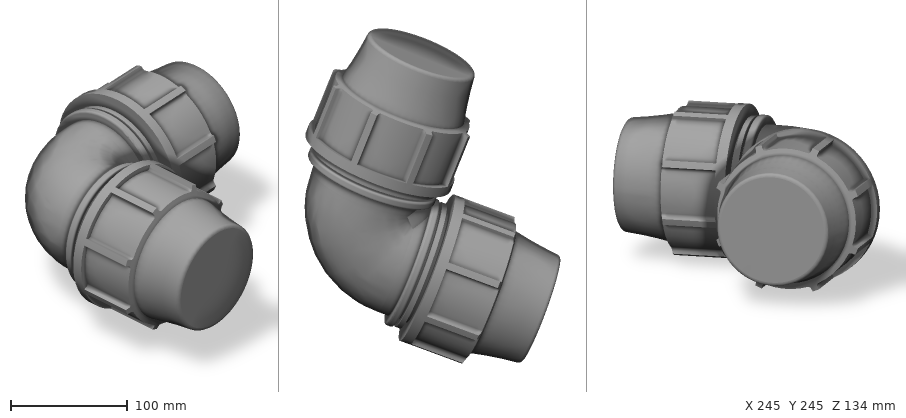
import cadquery as cq
import math

overall_length = 245.0
flange_diameter = 134.0
tube_diameter = 100.5

flange_radius = flange_diameter / 2
tube_radius = tube_diameter / 2
arm_length = overall_length - flange_radius

bend_radius = 46.5
crotch_web_width = 11.8
crotch_web_overlap = 1.0

wide_ring_diameter = 116.5
wide_ring_start = 56.0
wide_ring_width = 7.0
wide_ring_fillet = 2.0
narrow_ring_diameter = 114.2
narrow_ring_start = 65.5
narrow_ring_width = 4.5

flange_start = 73.3
flange_width = 9.0
grip_radius = 61.7
grip_bevel_start = 129.8
grip_end = 133.5
grip_end_radius = 56.0

nozzle_middle_position = 157.0
nozzle_middle_radius = 51.7
nozzle_end_radius = 49.2
nozzle_fillet = 3.2

rib_count = 8
rib_width = 6.1
rib_root_fillet = 2.5


def disc(start, width, diameter):
    """Cylinder about the X axis."""
    return cq.Workplane("YZ", origin=(start, 0, 0)).circle(diameter / 2).extrude(width)


def make_grip():
    """Flange and ribbed grip, with one bevel cut across both the grip and its ribs."""
    grip_start = flange_start + flange_width
    length = grip_end - grip_start
    grip = disc(grip_start, length, 2 * grip_radius)

    rib_blank = (
        cq.Workplane("XY", origin=(grip_start, 0, 0))
        .rect(length, rib_width)
        .extrude(flange_radius + rib_width)
        .translate((length / 2, 0, 0))
    )
    rib_pitch = 360 / rib_count
    for index in range(rib_count):
        angle = (index + 0.5) * rib_pitch
        grip = grip.union(rib_blank.rotate((0, 0, 0), (1, 0, 0), angle))

    root_radius = math.hypot(grip_radius, rib_width)
    root_edges = grip.edges("|X").filter(
        lambda edge: math.hypot(edge.Center().y, edge.Center().z) < root_radius
        and edge.Length() > length / 2
    )
    grip = grip.newObject(root_edges.vals()).fillet(rib_root_fillet)

    envelope = (
        cq.Workplane("XY")
        .moveTo(grip_start, 0)
        .lineTo(grip_start, flange_radius)
        .lineTo(grip_bevel_start, flange_radius)
        .lineTo(grip_end, grip_end_radius)
        .lineTo(grip_end, 0)
        .close()
        .revolve(360, (0, 0, 0), (1, 0, 0))
    )
    return grip.intersect(envelope).union(disc(flange_start, flange_width, flange_diameter))


def make_nozzle():
    """Slightly hollow taper with a rounded mouth edge."""
    return (
        cq.Workplane("XY")
        .moveTo(grip_end, 0)
        .lineTo(grip_end, grip_end_radius)
        .threePointArc(
            (nozzle_middle_position, nozzle_middle_radius), (arm_length, nozzle_end_radius)
        )
        .lineTo(arm_length, 0)
        .close()
        .revolve(360, (0, 0, 0), (1, 0, 0))
        .faces(">X")
        .edges()
        .fillet(nozzle_fillet)
    )


def make_arm_parts():
    """Tube, rings, nut and nozzle of the arm along +X."""
    tube = disc(bend_radius, flange_start - bend_radius, tube_diameter)
    wide_ring = disc(wide_ring_start, wide_ring_width, wide_ring_diameter).edges().fillet(wide_ring_fillet)
    narrow_ring = disc(narrow_ring_start, narrow_ring_width, narrow_ring_diameter)
    return tube, wide_ring, narrow_ring, make_grip(), make_nozzle()


def make_bend():
    """Quarter bend. It is tighter than the tube, so its section stops at the bend axis."""
    half_chord = math.sqrt(tube_radius**2 - bend_radius**2)
    return (
        cq.Workplane("YZ", origin=(bend_radius, 0, 0))
        .moveTo(bend_radius, -half_chord)
        .threePointArc((-tube_radius, 0), (bend_radius, half_chord))
        .close()
        .revolve(90, (bend_radius, 0, 0), (bend_radius, -1, 0))
    )


def make_crotch_web():
    """Ribbon filling the inner crease, with its long edges lying on the two tubes."""
    half_width = crotch_web_width / 2
    start = math.sqrt(2) * bend_radius - half_width - crotch_web_overlap
    bisector = cq.Plane(origin=(0, 0, 0), xDir=(1, 1, 0), normal=(1, -1, 0))
    web_side = cq.Workplane(bisector).workplane(offset=-half_width)
    mitre = (
        web_side.center(half_width, 0)
        .ellipse(math.sqrt(2) * tube_radius, tube_radius)
        .extrude(crotch_web_width)
    )
    crotch_zone = (
        web_side.center(start + tube_radius, 0)
        .rect(tube_diameter, tube_diameter)
        .extrude(crotch_web_width)
    )
    return mitre.intersect(crotch_zone)


def turn_to_y(shape):
    """Copy of an X-arm shape turned onto the +Y arm."""
    return shape.rotate((0, 0, 0), (0, 0, 1), 90)


arm_parts = make_arm_parts()
result = make_bend()
for part in arm_parts:
    result = result.union(part).union(turn_to_y(part))
result = result.union(make_crotch_web()).clean()